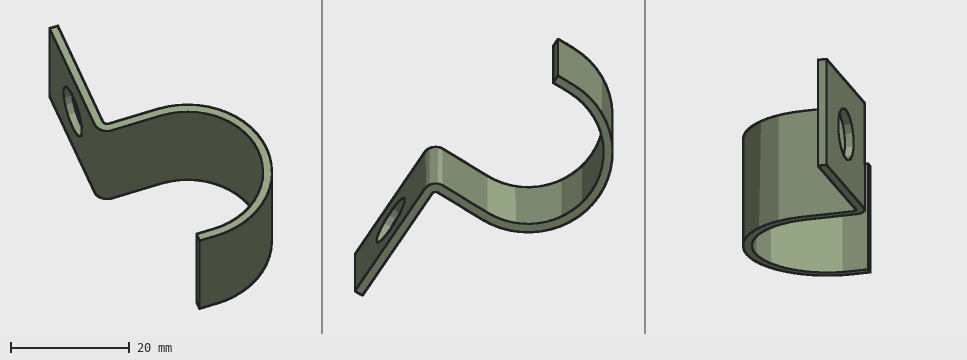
import cadquery as cq

strip_thickness = 1.52
strip_width = 19.05
overall_length = 50.72
overall_depth = 25.32
clamp_inner_radius = 12.7
free_leg_length = 3.175
bend_inner_radius = 0.76
hole_diameter = 8.7
hole_from_foot_end = 11.11

clamp_outer_radius = clamp_inner_radius + strip_thickness
bend_outer_radius = bend_inner_radius + strip_thickness
foot_end_x = clamp_outer_radius - overall_length
foot_back_y = clamp_outer_radius - overall_depth
foot_front_y = foot_back_y + strip_thickness
free_leg_end_y = -free_leg_length


def make_bent_strip():
    """Flat foot, straight leg, half-round clamp and short free leg as one extruded profile."""
    profile = (
        cq.Workplane("XY")
        .moveTo(foot_end_x, foot_back_y)
        .lineTo(-clamp_inner_radius, foot_back_y)
        .lineTo(-clamp_inner_radius, 0)
        .threePointArc((0, clamp_inner_radius), (clamp_inner_radius, 0))
        .lineTo(clamp_inner_radius, free_leg_end_y)
        .lineTo(clamp_outer_radius, free_leg_end_y)
        .lineTo(clamp_outer_radius, 0)
        .threePointArc((0, clamp_outer_radius), (-clamp_outer_radius, 0))
        .lineTo(-clamp_outer_radius, foot_front_y)
        .lineTo(foot_end_x, foot_front_y)
        .close()
    )
    return profile.extrude(strip_width)


def round_bend(strip):
    """Round both faces of the bend between foot and leg about a common axis."""
    outer_corner = cq.selectors.NearestToPointSelector(
        (-clamp_inner_radius, foot_back_y, strip_width / 2)
    )
    inner_corner = cq.selectors.NearestToPointSelector(
        (-clamp_outer_radius, foot_front_y, strip_width / 2)
    )
    strip = strip.edges("|Z").edges(outer_corner).fillet(bend_outer_radius)
    return strip.edges("|Z").edges(inner_corner).fillet(bend_inner_radius)


def make_screw_hole():
    """Cylinder that cuts the round hole through the foot along Y."""
    return (
        cq.Workplane("XZ", origin=(0, foot_front_y, 0))
        .center(foot_end_x + hole_from_foot_end, strip_width / 2)
        .circle(hole_diameter / 2)
        .extrude(strip_thickness)
    )


result = round_bend(make_bent_strip()).cut(make_screw_hole())